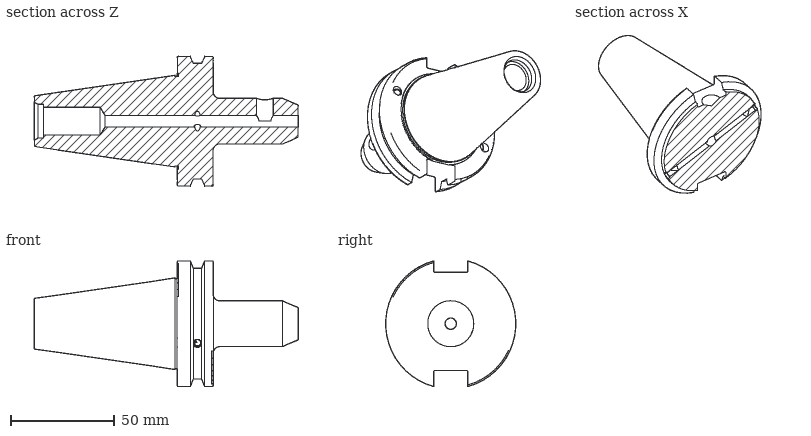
import cadquery as cq
import math

TOTAL_LENGTH = 128.2
TAPER_LENGTH = 68.4
FLANGE_START = 69.4
FLANGE_END = 87.0
SHANK_CONE_START = 120.5
GROOVE_CENTRE = 79.3

GAUGE_RADIUS = 22.3
TAPER_RATE = 7 / 48
TAPER_END_RADIUS = GAUGE_RADIUS - TAPER_LENGTH * TAPER_RATE
NECK_RADIUS = 43.9 / 2
FLANGE_RADIUS = 63.2 / 2
SHANK_RADIUS = 22.3 / 2
TIP_RADIUS = 7.8

EDGE_FILLET = 0.8
SHANK_FILLET = 3.2

RELIEF_RADIUS = 23.2
RELIEF_DEPTH = 0.6

GROOVE_FLOOR_RADIUS = 56.3 / 2
GROOVE_FLOOR_WIDTH = 4.0
GROOVE_MOUTH_WIDTH = 6.9

SLOT_WIDTH = 16.4
UPPER_SLOT_FLOOR = 25.0
LOWER_SLOT_FLOOR = 22.7
SLOT_CORNER_FILLET = 0.5
DIMPLE_DIAMETER = 9.5

MOUTH_DIAMETER = 18.5
THREAD_DIAMETER = 16.3
INNER_BORE_DIAMETER = 13.3
THROUGH_DIAMETER = 5.4
MOUTH_CONE_DEPTH = 1.9
THREAD_DEPTH = 4.5
INNER_BORE_DEPTH = 32.0

DRILL_HALF_ANGLE = math.radians(59)

COOLANT_ANGLE = 20.0
COOLANT_TILT = math.radians(28)
COOLANT_CIRCLE_RADIUS = 26.9
FACE_HOLE_DIAMETER = 4.2
FACE_HOLE_DEPTH = 1.9
COOLANT_DIAMETER = 3.2
PLUG_DIAMETER = 4.0
PLUG_SEAT_DEPTH = 1.3

SCREW_DIAMETER = 8.0
SCREW_POSITION = 112.0


def drill_point_length(diameter):
    return diameter / 2 / math.tan(DRILL_HALF_ANGLE)


def revolve_about_x(profile):
    return profile.close().revolve(360, (0, 0, 0), (1, 0, 0))


def make_taper_and_neck():
    taper = revolve_about_x(
        cq.Workplane("XY")
        .lineTo(0, TAPER_END_RADIUS)
        .lineTo(TAPER_LENGTH, GAUGE_RADIUS)
        .lineTo(TAPER_LENGTH, 0)
    )
    taper = taper.faces("<X").edges().fillet(EDGE_FILLET)
    neck = revolve_about_x(
        cq.Workplane("XY")
        .moveTo(TAPER_LENGTH, 0)
        .lineTo(TAPER_LENGTH, NECK_RADIUS)
        .lineTo(FLANGE_START + RELIEF_DEPTH, NECK_RADIUS)
        .lineTo(FLANGE_START + RELIEF_DEPTH, 0)
    )
    return taper.union(neck)


def make_slot(floor, side):
    """Drive slot open to +Z (side = 1) or -Z (side = -1)."""
    length = FLANGE_END - FLANGE_START
    height = FLANGE_RADIUS
    slot = cq.Workplane("XY").box(length, SLOT_WIDTH, height)
    floor_face = "<Z" if side > 0 else ">Z"
    slot = slot.faces(floor_face).edges("|X").fillet(SLOT_CORNER_FILLET)
    return slot.translate(((FLANGE_START + FLANGE_END) / 2, 0, side * (floor + height / 2)))


def make_flange():
    flange = (
        cq.Workplane("YZ", origin=(FLANGE_START, 0, 0))
        .circle(FLANGE_RADIUS)
        .extrude(FLANGE_END - FLANGE_START)
        .edges("%CIRCLE")
        .fillet(EDGE_FILLET)
    )
    groove = revolve_about_x(
        cq.Workplane("XY")
        .moveTo(GROOVE_CENTRE - GROOVE_FLOOR_WIDTH / 2, GROOVE_FLOOR_RADIUS)
        .lineTo(GROOVE_CENTRE - GROOVE_MOUTH_WIDTH / 2, FLANGE_RADIUS)
        .lineTo(GROOVE_CENTRE + GROOVE_MOUTH_WIDTH / 2, FLANGE_RADIUS)
        .lineTo(GROOVE_CENTRE + GROOVE_FLOOR_WIDTH / 2, GROOVE_FLOOR_RADIUS)
    )
    relief = (
        cq.Workplane("YZ", origin=(FLANGE_START, 0, 0))
        .circle(RELIEF_RADIUS)
        .circle(NECK_RADIUS)
        .extrude(RELIEF_DEPTH)
    )
    flange = flange.cut(groove).cut(relief)
    flange = flange.cut(make_slot(UPPER_SLOT_FLOOR, 1))
    return flange.cut(make_slot(LOWER_SLOT_FLOOR, -1))


def make_shank():
    shank = revolve_about_x(
        cq.Workplane("XY")
        .moveTo(FLANGE_END, 0)
        .lineTo(FLANGE_END, SHANK_RADIUS + SHANK_FILLET)
        .radiusArc((FLANGE_END + SHANK_FILLET, SHANK_RADIUS), -SHANK_FILLET)
        .lineTo(SHANK_CONE_START, SHANK_RADIUS)
        .lineTo(TOTAL_LENGTH, TIP_RADIUS)
        .lineTo(TOTAL_LENGTH, 0)
    )
    return shank.faces(">X").edges().fillet(EDGE_FILLET)


def make_bore():
    """Stepped bore from the taper end, narrowing to a hole right through."""
    cone_length = drill_point_length(INNER_BORE_DIAMETER - THROUGH_DIAMETER)
    return revolve_about_x(
        cq.Workplane("XY")
        .lineTo(0, MOUTH_DIAMETER / 2)
        .lineTo(MOUTH_CONE_DEPTH, THREAD_DIAMETER / 2)
        .lineTo(THREAD_DEPTH, THREAD_DIAMETER / 2)
        .lineTo(THREAD_DEPTH, INNER_BORE_DIAMETER / 2)
        .lineTo(INNER_BORE_DEPTH, INNER_BORE_DIAMETER / 2)
        .lineTo(INNER_BORE_DEPTH + cone_length, THROUGH_DIAMETER / 2)
        .lineTo(TOTAL_LENGTH, THROUGH_DIAMETER / 2)
        .lineTo(TOTAL_LENGTH, 0)
    )


def make_dimple():
    """Conical drill mark in the floor of the upper slot."""
    return cq.Workplane(
        cq.Solid.makeCone(
            DIMPLE_DIAMETER / 2,
            0,
            drill_point_length(DIMPLE_DIAMETER),
            cq.Vector(GROOVE_CENTRE, 0, UPPER_SLOT_FLOOR),
            cq.Vector(0, 0, -1),
        )
    )


def make_coolant_hole():
    """Tilted hole in the flange face on the +Y side, meeting a radial hole from the groove."""
    direction = cq.Vector(math.cos(COOLANT_TILT), -math.sin(COOLANT_TILT), 0)
    face_centre = cq.Vector(FLANGE_START, COOLANT_CIRCLE_RADIUS, 0)
    start = face_centre - direction * FACE_HOLE_DIAMETER
    face_hole = cq.Workplane(
        cq.Solid.makeCylinder(
            FACE_HOLE_DIAMETER / 2, FACE_HOLE_DIAMETER + FACE_HOLE_DEPTH, start, direction
        )
    )
    passage_length = (GROOVE_CENTRE - FLANGE_START) / math.cos(COOLANT_TILT)
    passage = cq.Workplane(
        cq.Solid.makeCylinder(
            COOLANT_DIAMETER / 2, FACE_HOLE_DIAMETER + passage_length, start, direction
        )
    )
    radial_hole = (
        cq.Workplane("XZ", origin=(GROOVE_CENTRE, GROOVE_FLOOR_RADIUS, 0))
        .circle(COOLANT_DIAMETER / 2)
        .extrude(GROOVE_FLOOR_RADIUS)
    )
    plug_seat = (
        cq.Workplane("XZ", origin=(GROOVE_CENTRE, GROOVE_FLOOR_RADIUS, 0))
        .circle(PLUG_DIAMETER / 2)
        .extrude(PLUG_SEAT_DEPTH)
    )
    return face_hole.union(passage).union(radial_hole).union(plug_seat)


def make_screw_hole():
    """Radial hole from the +Y side of the shank into the bore."""
    return (
        cq.Workplane("XZ", origin=(SCREW_POSITION, 0, 0))
        .circle(SCREW_DIAMETER / 2)
        .extrude(-SHANK_RADIUS)
    )


result = make_taper_and_neck().union(make_flange()).union(make_shank())
result = result.cut(make_bore()).cut(make_dimple()).cut(make_screw_hole())
for turn in (0, 180):
    hole = make_coolant_hole().rotate((0, 0, 0), (1, 0, 0), COOLANT_ANGLE + turn)
    result = result.cut(hole)